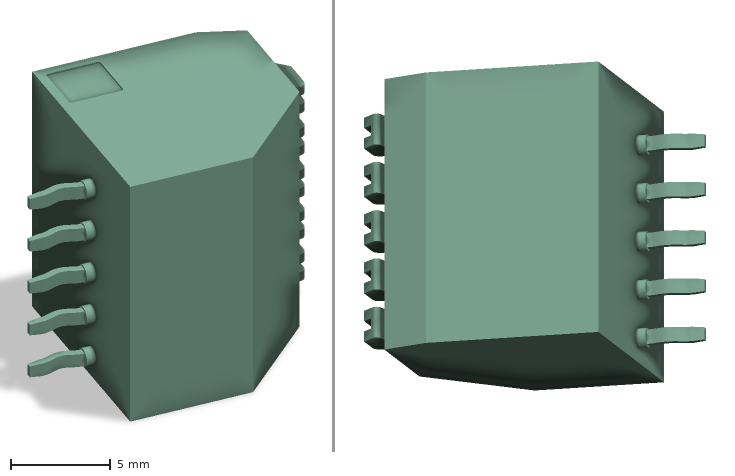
import cadquery as cq
import math


overall_depth = 16.6
body_width = 12.0
body_height = 14.0
pin_length = 3.5
hook_height = 1.6
body_depth = overall_depth - pin_length - hook_height

left_cut_width = 0.9
left_cut_depth = 2.44
right_cut = 4.7

way_count = 5
row_span = 10.0
pitch = row_span / (way_count - 1)
first_pin_z = 1.26
first_hook_z = 1.71

panel_size = 2.99
panel_margin = 0.51
panel_depth = 0.1
panel_corner_radius = 0.13

hook_left = 2.54
hook_right = 4.71
hook_thickness = 1.6
hook_top_left = 2.74
hook_corner_radius = 0.4
nose_x = 1.8
nose_rise = 0.65
nose_underside_rise = 0.5
nose_radius = 0.22
notch_width = 0.53
notch_depth = 0.51

pin_x = 7.3
collar_diameter = 1.0
collar_length = 0.5
pin_width = 0.42
pin_thickness = 0.75
bend_start = 0.75
bend_middle = 1.66
bend_end = 2.59
bend_offset = 0.33
end_bend_radius = 1.03
middle_bend_radius = 1.16
tip_start = 2.85
tip_width = 0.3
tip_thickness = 0.63


def make_body():
    """Extruded block with two slanted rear corners and a recessed panel on top."""
    block = (
        cq.Workplane("XY")
        .moveTo(0, 0)
        .lineTo(body_width, 0)
        .lineTo(body_width, body_depth - right_cut)
        .lineTo(body_width - right_cut, body_depth)
        .lineTo(left_cut_width, body_depth)
        .lineTo(0, body_depth - left_cut_depth)
        .close()
        .extrude(body_height)
    )
    panel_center = panel_margin + panel_size / 2
    panel = (
        cq.Workplane("XY", origin=(panel_center, panel_center, body_height - panel_depth))
        .rect(panel_size, panel_size)
        .extrude(panel_depth)
        .edges("|Z")
        .fillet(panel_corner_radius)
    )
    return block.cut(panel)


def make_hook():
    """Hook with a rounded nose and a notch through its top, centred on Z = 0."""
    top = body_depth + hook_height
    hook = (
        cq.Workplane("XY", origin=(0, 0, -hook_thickness / 2))
        .moveTo(hook_left, body_depth)
        .lineTo(hook_right, body_depth)
        .lineTo(hook_right, top)
        .lineTo(hook_top_left, top)
        .lineTo(nose_x, body_depth + nose_rise)
        .lineTo(hook_left, body_depth + nose_underside_rise)
        .close()
        .extrude(hook_thickness)
    )
    hook = hook.edges("|Z and <X").fillet(nose_radius)
    hook = hook.edges("|Z and >X and >Y").fillet(hook_corner_radius)
    notch = (
        cq.Workplane("XY", origin=(0, top - notch_depth, 0))
        .box(hook_right, notch_depth, notch_width, centered=(False, False, True))
    )
    return hook.cut(notch)


def bent_side(side):
    """Rounded centre path of the pin shifted by half its width; side is -1 (left) or +1 (right).

    Returns the start point, the three points of each bend arc in order, and the end point.
    """
    shift = side * pin_width / 2
    slope_in = math.atan2(bend_offset, bend_middle - bend_start)
    slope_out = math.atan2(bend_offset, bend_end - bend_middle)
    bends = [
        (bend_start, 0, 0, -slope_in, end_bend_radius),
        (bend_middle, -bend_offset, -slope_in, slope_out, middle_bend_radius),
        (bend_end, 0, slope_out, 0, end_bend_radius),
    ]
    arcs = []
    for distance, sideways, before, after, radius in bends:
        turn = after - before
        tangent = radius * math.tan(abs(turn) / 2)
        turn_sign = math.copysign(1, turn)
        start_x = sideways - tangent * math.sin(before)
        start_y = distance - tangent * math.cos(before)
        center_x = start_x + turn_sign * radius * math.cos(before)
        center_y = start_y - turn_sign * radius * math.sin(before)
        reach = shift - turn_sign * radius
        arcs.append([
            (pin_x + center_x + reach * math.cos(heading), -(center_y - reach * math.sin(heading)))
            for heading in (before, (before + after) / 2, after)
        ])
    return (pin_x + shift, -collar_length), arcs, (pin_x + shift, -tip_start)


def make_pin():
    """Round collar, bent flat pin and tapered tip, centred on Z = 0."""
    collar = (
        cq.Workplane("XZ", origin=(pin_x, 0, 0))
        .circle(collar_diameter / 2)
        .extrude(collar_length)
    )
    left_start, left_arcs, left_end = bent_side(-1)
    right_start, right_arcs, right_end = bent_side(1)
    outline = cq.Workplane("XY", origin=(0, 0, -pin_thickness / 2)).moveTo(*left_start)
    for arc_start, arc_middle, arc_end in left_arcs:
        outline = outline.lineTo(*arc_start).threePointArc(arc_middle, arc_end)
    outline = outline.lineTo(*left_end).lineTo(*right_end)
    for arc_start, arc_middle, arc_end in reversed(right_arcs):
        outline = outline.lineTo(*arc_end).threePointArc(arc_middle, arc_start)
    shank = outline.lineTo(*right_start).close().extrude(pin_thickness)
    tip = (
        cq.Workplane("XZ", origin=(pin_x, -tip_start, 0))
        .rect(pin_width, pin_thickness)
        .workplane(offset=pin_length - tip_start)
        .rect(tip_width, tip_thickness)
        .loft(combine=True)
    )
    return collar.union(shank).union(tip)


result = make_body()
hook = make_hook()
pin = make_pin()
for way in range(way_count):
    result = result.union(hook.translate((0, 0, first_hook_z + way * pitch)))
    result = result.union(pin.translate((0, 0, first_pin_z + way * pitch)))